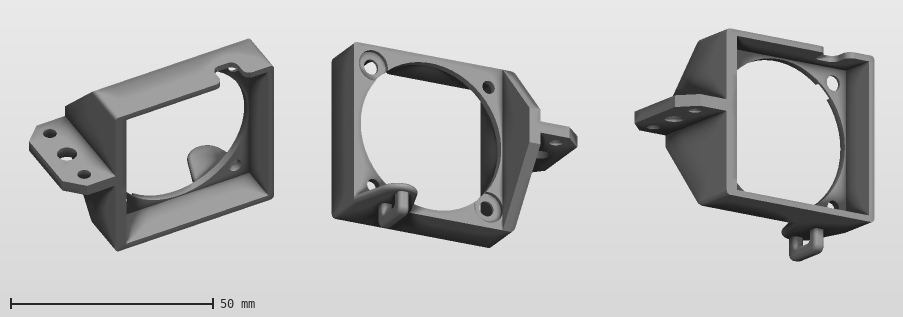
import cadquery as cq
import math


frame_height = 42.85
frame_width = 44.45
frame_depth = 12.0
plate_thickness = 2.0
wall_thickness = 1.6
arm_thickness = 3.15
edge_radius = 1.0
half_height = frame_height / 2
side_face_y = half_height
arm_face_y = side_face_y - frame_width

opening_diameter = 39.0
hole_pitch = 32.0
small_hole_diameter = 3.4
large_hole_diameter = 3.9
counterbore_diameter = 8.0
counterbore_depth = 1.2

tab_thickness = 3.0
total_length = 56.9
tab_tip_y = side_face_y - total_length
tab_chamfer = 4.5
tab_hole_inset = 6.0
tab_hole_pitch = 9.0
tab_center_diameter = 5.0
tab_side_diameter = 3.4

arm_reach = 14.5
arm_nose_height = 9.2
arm_nose_z = tab_thickness / 2

notch_y = side_face_y - 11.1
notch_depth = 6.05
notch_width = 6.45
notch_corner_radius = 2.0
notch_mouth_radius = 2.0

tongue_thickness = 2.05
tongue_half_width = 7.995
tongue_tip_radius = 5.0
tongue_tip_center_x = -7.995
tongue_y = side_face_y - tongue_half_width
tongue_edge_radius = tongue_thickness / 2
loop_length = 12.0
loop_drop = 6.0
loop_bar = 3.0
loop_corner_radius = 2.0
loop_edge_radius = 0.995
loop_inner_radius = loop_corner_radius - loop_edge_radius


def box(x_range, y_range, z_range):
    """Box between the two limits given for each axis."""
    size = [high - low for low, high in (x_range, y_range, z_range)]
    start = (x_range[0], y_range[0], z_range[0])
    return cq.Workplane("XY").box(*size, centered=False).translate(start)


def cylinder_x(diameter, length, y=0, z=0):
    """Cylinder along +X from the front face of the plate."""
    return cq.Workplane("YZ").center(y, z).circle(diameter / 2).extrude(length)


def make_shell():
    """Hollow frame and arm, with the arm's outline sloping to its nose."""
    block = box((-arm_reach, frame_depth), (arm_face_y, side_face_y), (-half_height, half_height))
    block = block.edges("|X").fillet(edge_radius)
    outline = (
        cq.Workplane("XZ", origin=(0, side_face_y, 0))
        .moveTo(frame_depth, -half_height)
        .lineTo(0, -half_height)
        .lineTo(-arm_reach, arm_nose_z - arm_nose_height / 2)
        .lineTo(-arm_reach, arm_nose_z + arm_nose_height / 2)
        .lineTo(0, half_height)
        .lineTo(frame_depth, half_height)
        .close()
        .extrude(side_face_y - arm_face_y)
    )
    inner_arm_y = arm_face_y + arm_thickness
    inner_half_height = half_height - wall_thickness
    in_front = box((-arm_reach, 0), (inner_arm_y, side_face_y), (-half_height, half_height))
    cavity = box(
        (plate_thickness, frame_depth),
        (inner_arm_y, side_face_y - wall_thickness),
        (-inner_half_height, inner_half_height),
    )
    return block.intersect(outline).cut(in_front).cut(cavity)


def cut_plate_holes(body):
    """Large opening and four corner holes; one diagonal pair is counterbored."""
    body = body.cut(cylinder_x(opening_diameter, plate_thickness))
    for y_side in (-1, 1):
        for z_side in (-1, 1):
            y = y_side * hole_pitch / 2
            z = z_side * hole_pitch / 2
            if y_side == z_side:
                body = body.cut(cylinder_x(large_hole_diameter, plate_thickness, y, z))
                body = body.cut(cylinder_x(counterbore_diameter, counterbore_depth, y, z))
            else:
                body = body.cut(cylinder_x(small_hole_diameter, plate_thickness, y, z))
    return body


def make_tab():
    """Flat tab with chamfered outer corners and a row of three holes."""
    tab = box((-arm_reach, frame_depth), (tab_tip_y, arm_face_y), (0, tab_thickness))
    tab = tab.edges("|Z and <Y").chamfer(tab_chamfer)
    center_x = (frame_depth - arm_reach) / 2
    holes = cq.Workplane("XY").center(center_x, tab_tip_y + tab_hole_inset)
    side_points = [(-tab_hole_pitch, 0), (tab_hole_pitch, 0)]
    tab = tab.cut(holes.circle(tab_center_diameter / 2).extrude(tab_thickness))
    return tab.cut(holes.pushPoints(side_points).circle(tab_side_diameter / 2).extrude(tab_thickness))


def make_notch():
    """Notch with round inner corners and a flared mouth at the rear edge."""
    floor_x = frame_depth - notch_depth
    side = notch_width / 2
    mouth = side + notch_mouth_radius
    mouth_x = frame_depth - notch_mouth_radius
    outline = (
        cq.Workplane("XY", origin=(0, notch_y, half_height - wall_thickness))
        .moveTo(frame_depth, mouth)
        .radiusArc((mouth_x, side), notch_mouth_radius)
        .lineTo(floor_x + notch_corner_radius, side)
        .radiusArc((floor_x, side - notch_corner_radius), -notch_corner_radius)
        .lineTo(floor_x, notch_corner_radius - side)
        .radiusArc((floor_x + notch_corner_radius, -side), -notch_corner_radius)
        .lineTo(mouth_x, -side)
        .radiusArc((frame_depth, -mouth), notch_mouth_radius)
        .close()
    )
    return outline.extrude(wall_thickness)


def make_bracket():
    return cut_plate_holes(make_shell()).union(make_tab()).cut(make_notch())


def make_tongue():
    """Tapered tongue, its sides tangent to the round tip and its rim a full round."""
    reach = math.hypot(tongue_tip_center_x, tongue_half_width)
    taper = math.acos(tongue_tip_radius / reach) - math.atan2(-tongue_tip_center_x, tongue_half_width)

    rim_tip_radius = tongue_tip_radius - tongue_edge_radius
    tangent_x = tongue_tip_center_x - rim_tip_radius * math.sin(taper)
    tangent_y = rim_tip_radius * math.cos(taper)
    end_x = tongue_edge_radius
    end_y = tangent_y + (end_x - tangent_x) * math.tan(taper)
    def rim_line():
        return (
            cq.Workplane("XY", origin=(0, tongue_y, -half_height + tongue_edge_radius))
            .moveTo(end_x, -end_y)
            .lineTo(tangent_x, -tangent_y)
            .threePointArc((tongue_tip_center_x - rim_tip_radius, 0), (tangent_x, tangent_y))
            .lineTo(end_x, end_y)
        )

    start = cq.Vector(end_x, tongue_y - end_y, -half_height + tongue_edge_radius)
    start_direction = cq.Vector(-math.cos(taper), math.sin(taper), 0)
    rim_section = cq.Workplane(cq.Plane(start, normal=start_direction)).circle(tongue_edge_radius)
    rim = rim_section.sweep(rim_line())
    core = rim_line().close().extrude(tongue_edge_radius, both=True)
    beyond_face = box((0, frame_depth), (arm_face_y, frame_height), (-frame_height, 0))
    return core.union(rim).cut(beyond_face)


def make_loop():
    """Rounded U-shaped bar hanging from the underside of the tongue."""
    def rounded_block(inset, corner_radius):
        block = box(
            (-loop_length + inset, -inset),
            (tongue_y - loop_bar / 2, tongue_y + loop_bar / 2),
            (-half_height - loop_drop + inset, -half_height),
        )
        return block.edges("|Y and <Z").fillet(corner_radius)

    loop = rounded_block(0, loop_corner_radius).cut(rounded_block(loop_bar, loop_inner_radius))
    rim = loop.faces("<Y or >Y").edges("not(>Z)")
    return loop.newObject(rim.vals()).fillet(loop_edge_radius)


def make_hook():
    return make_tongue().union(make_loop())


bracket = make_bracket()
hook = make_hook()
result = cq.Compound.makeCompound([bracket.val(), hook.val()])